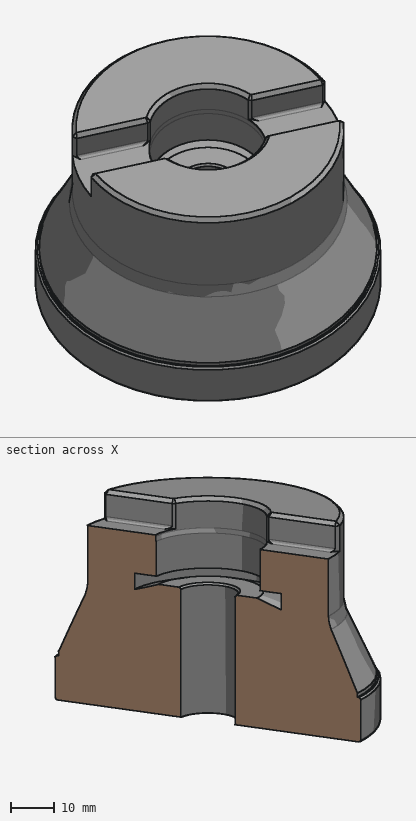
import cadquery as cq
import math

total_height = 50.0
base_diameter = 79.9
base_height = 10.8
base_top_chamfer = 0.5
base_bottom_fillet = 0.8
collar_diameter = 78.05
collar_top = 11.75
hub_diameter = 62.9
cone_top = 27.7
cone_blend_radius = 7.2

slot_width = 12.55
slot_depth = 7.0
slot_floor_fillet = 0.8
edge_chamfer = 0.95
inner_corner_chamfer = 0.5

upper_bore_diameter = 27.2
upper_bore_depth = 7.35
lower_bore_diameter = 27.0
bore_taper_height = 1.2

groove_diameter = 38.1
groove_roof_depth = 17.0
bore_depth = 18.8
raised_floor_diameter = 25.7
groove_floor_drop = 2.0

through_hole_diameter = 14.0
through_hole_chamfer = 0.5

slot_floor = total_height - slot_depth
hub_radius = hub_diameter / 2


def make_body():
    """Base disc, collar, cone and hub turned in one piece."""
    base_radius = base_diameter / 2
    collar_radius = collar_diameter / 2
    body = (
        cq.Workplane("XZ")
        .lineTo(base_radius, 0)
        .lineTo(base_radius, base_height)
        .lineTo(collar_radius, base_height)
        .lineTo(collar_radius, collar_top)
        .lineTo(hub_radius, cone_top)
        .lineTo(hub_radius, total_height)
        .lineTo(0, total_height)
        .close()
        .revolve(360, (0, 0, 0), (0, 1, 0))
    )
    body = round_edge_at(body, cone_top, hub_radius).fillet(cone_blend_radius)
    body = round_edge_at(body, base_height, base_radius).chamfer(base_top_chamfer)
    return body.faces("<Z").edges().fillet(base_bottom_fillet)


def round_edge_at(body, height, radius):
    """Select the full-circle edge with this height and radius."""
    return body.edges("%CIRCLE").filter(
        lambda edge: math.isclose(edge.Center().z, height, abs_tol=0.01)
        and math.isclose(edge.radius(), radius, abs_tol=0.01)
    )


def make_bore():
    """Bore, undercut groove and chamfered through hole as one turned tool."""
    upper_radius = upper_bore_diameter / 2
    lower_radius = lower_bore_diameter / 2
    groove_radius = groove_diameter / 2
    hole_radius = through_hole_diameter / 2
    taper_top = total_height - upper_bore_depth
    groove_roof = total_height - groove_roof_depth
    bore_floor = total_height - bore_depth
    return (
        cq.Workplane("XZ")
        .lineTo(hole_radius, 0)
        .lineTo(hole_radius, bore_floor - through_hole_chamfer)
        .lineTo(hole_radius + through_hole_chamfer, bore_floor)
        .lineTo(raised_floor_diameter / 2, bore_floor)
        .lineTo(groove_radius, bore_floor - groove_floor_drop)
        .lineTo(groove_radius, groove_roof)
        .lineTo(lower_radius, groove_roof)
        .lineTo(lower_radius, taper_top - bore_taper_height)
        .lineTo(upper_radius, taper_top)
        .lineTo(upper_radius, total_height)
        .lineTo(0, total_height)
        .close()
        .revolve(360, (0, 0, 0), (0, 1, 0))
    )


def make_slot():
    """Slot running along Y, open at the top."""
    return cq.Workplane("XY").workplane(offset=slot_floor).rect(slot_width, base_diameter).extrude(slot_depth)


def wall_ends(body, outer):
    """Select the upright slot wall ends, at the hub rim or at the bore."""
    return body.edges("|Z").filter(
        lambda edge: math.isclose(abs(edge.Center().x), slot_width / 2, abs_tol=0.01)
        and (abs(edge.Center().y) > hub_radius / 2) == outer
    )


result = make_body().cut(make_bore()).cut(make_slot())
result = wall_ends(result, outer=False).chamfer(inner_corner_chamfer)
result = result.faces(">Z").edges().add(wall_ends(result, outer=True)).chamfer(edge_chamfer)

floor_corners = result.edges("|Y").filter(lambda edge: math.isclose(edge.Center().z, slot_floor, abs_tol=0.01))
result = floor_corners.fillet(slot_floor_fillet)